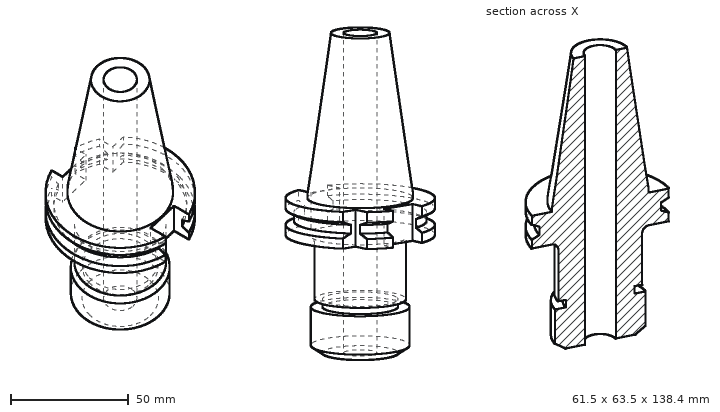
import cadquery as cq

total_height = 138.4
nut_chamfer_height = 3.3
nut_top = 19.9
body_bottom = 23.3
flange_bottom = 51.1
flange_top = 67.0
collar_top = 68.8
gauge_line = 70.0

nut_radius = 21.0
nut_face_radius = 16.2
neck_radius = 16.0
body_radius = 19.5
body_fillet = 3.0
flange_radius = 31.76
collar_radius = 22.4
gauge_radius = 22.3
taper_end_radius = 12.5
bore_radius = 7.0

groove_center = 59.0
groove_floor_width = 3.7
groove_mouth_width = 7.0
groove_radius = 28.2

slot_width = 16.0
left_slot_floor = 24.8
right_slot_floor = 22.7
notch_x = 18.5
notch_y = 18.5


def make_turned_body():
    """Revolve the nut, body, flange and taper as one half profile about Z."""
    floor_half = groove_floor_width / 2
    mouth_half = groove_mouth_width / 2
    profile = (
        cq.Workplane("XZ")
        .moveTo(0, 0)
        .lineTo(nut_face_radius, 0)
        .lineTo(nut_radius, nut_chamfer_height)
        .lineTo(nut_radius, nut_top)
        .lineTo(neck_radius, nut_top)
        .lineTo(neck_radius, body_bottom)
        .lineTo(body_radius, body_bottom)
        .lineTo(body_radius, flange_bottom - body_fillet)
        .radiusArc((body_radius + body_fillet, flange_bottom), body_fillet)
        .lineTo(flange_radius, flange_bottom)
        .lineTo(flange_radius, groove_center - mouth_half)
        .lineTo(groove_radius, groove_center - floor_half)
        .lineTo(groove_radius, groove_center + floor_half)
        .lineTo(flange_radius, groove_center + mouth_half)
        .lineTo(flange_radius, flange_top)
        .lineTo(collar_radius, flange_top)
        .lineTo(collar_radius, collar_top)
        .lineTo(gauge_radius, gauge_line)
        .lineTo(taper_end_radius, total_height)
        .lineTo(0, total_height)
        .close()
    )
    return profile.revolve(360, (0, 0), (0, 1))


def flange_cutter(x_min, x_max, y_min, y_max):
    """Box over the full thickness of the flange."""
    return cq.Workplane("XY").box(
        x_max - x_min, y_max - y_min, flange_top - flange_bottom, centered=False
    ).translate((x_min, y_min, flange_bottom))


half_slot = slot_width / 2
left_slot = flange_cutter(-flange_radius, -left_slot_floor, -half_slot, half_slot)
right_slot = flange_cutter(right_slot_floor, flange_radius, -half_slot, half_slot)
notch = flange_cutter(-flange_radius, -notch_x, notch_y, flange_radius)
bore = cq.Workplane("XY").circle(bore_radius).extrude(total_height)

result = make_turned_body().cut(left_slot).cut(right_slot).cut(notch).cut(bore)